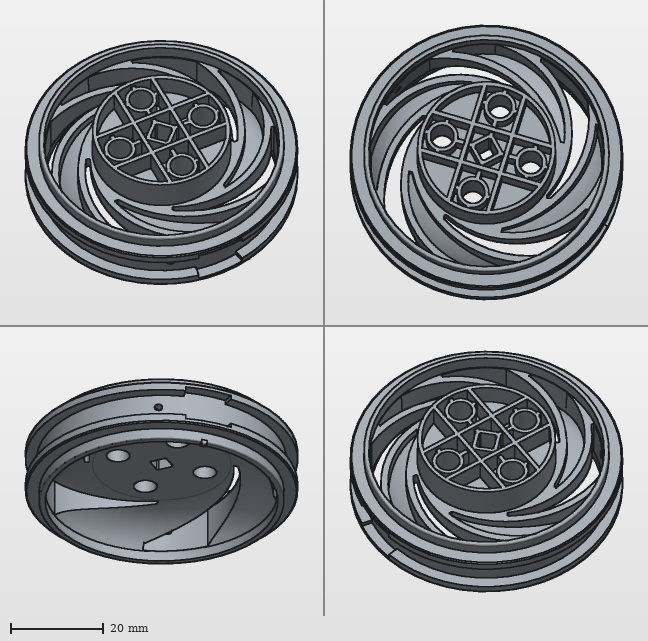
import cadquery as cq
import math

rim_height = 15.0
rim_radius = 26.5
rim_bore_radius = 25.15
rim_mouth_radius = 25.45
rim_edge_round = 0.2

drum_radius = 27.0
flange_radius = 29.45
flange_thickness = 2.0
flange_edge_chamfer = 0.3
lower_flange_bottom = 2.5
upper_flange_top = 12.55
drum_middle = (lower_flange_bottom + upper_flange_top) / 2

notch_half_angle = 10.2
notch_rim_left = 1.05

drum_hole_diameter = 1.55
drum_hole_y = 10.05
nub_length = 1.2
nub_width = 1.3
nub_height = 0.4
nub_edge_round = 0.2

web_top = 11.95
floor_top = 10.55
dome_radius = 12.05
shell_thickness = 1.2

spoke_count = 4
spoke_step = 360 / spoke_count
lead_arc_center = (-4.7, 4.6)
lead_arc_radius = 21.65
trail_arc_center = (-4.5, 8.05)
trail_arc_radius = 24.1
slot_end = 4.9
slot_end_round = 0.35

spoke_wall = 1.55
pocket_outer_radius = 25.3
pocket_draft = 3.0
pocket_inner_end_y = 7.95
pocket_outer_end_x = -13.9

hub_top = 19.1
hub_radius = 15.0
hub_top_radius = 14.9
hub_wall = 0.95
hub_floor = 14.25
rib_thickness = 1.0
rib_offset = 4.5
tube_count = 4
tube_step = 360 / tube_count
tube_pitch_radius = 10.0
tube_radius = 3.4
tube_bore_radius = 2.55
tube_top = hub_top - 0.9
socket_outer_half_diagonal = 3.95
socket_half_diagonal = 2.7
socket_corner_cut = 0.25

hub_cup_radius = hub_top_radius - hub_wall
dome_center_z = floor_top - dome_radius

overlap = 0.6
overrun = 0.6


def disc(radius, bottom, top, center=(0, 0)):
    return cq.Workplane("XY", origin=(*center, bottom)).circle(radius).extrude(top - bottom)


def cone(bottom_radius, top_radius, bottom, top, center=(0, 0)):
    solid = cq.Solid.makeCone(bottom_radius, top_radius, top - bottom, cq.Vector(*center, bottom))
    return cq.Workplane("XY").add(solid)


def box(x_min, x_max, y_min, y_max, bottom, top):
    size = (x_max - x_min, y_max - y_min, top - bottom)
    return cq.Workplane("XY", origin=(x_min, y_min, bottom)).box(*size, centered=False)


def square_post(half_diagonal, bottom, top):
    return cq.Workplane("XY", origin=(0, 0, bottom)).polygon(4, 2 * half_diagonal).extrude(top - bottom)


def turned(shape, angle):
    return shape.rotate((0, 0, 0), (0, 0, 1), angle)


def under_dome(arc_radius):
    """Solid below a dome that is flat over the hub and falls away towards the rim."""
    edge_angle = math.asin((rim_mouth_radius - hub_radius) / arc_radius)

    def arc_point(angle):
        x = hub_radius + arc_radius * math.sin(angle)
        z = dome_center_z + arc_radius * math.cos(angle)
        return x, z

    bottom = -overrun
    return (
        cq.Workplane("XZ")
        .moveTo(0, bottom)
        .lineTo(0, dome_center_z + arc_radius)
        .lineTo(*arc_point(0))
        .threePointArc(arc_point(edge_angle / 2), arc_point(edge_angle))
        .lineTo(rim_mouth_radius, bottom)
        .close()
        .revolve(360, (0, 0, 0), (0, 1, 0))
    )


def make_flanges():
    lower_top = lower_flange_bottom + flange_thickness
    upper_bottom = upper_flange_top - flange_thickness
    lower = disc(flange_radius, lower_flange_bottom, lower_top)
    lower = lower.faces("<Z").edges().chamfer(flange_edge_chamfer)
    upper = disc(flange_radius, upper_bottom, upper_flange_top)
    upper = upper.faces(">Z").edges().chamfer(flange_edge_chamfer)
    flanges = lower.union(upper)

    reach = 2 * flange_radius
    half_width = reach * math.tan(math.radians(notch_half_angle))
    notch_bottom = lower_flange_bottom + notch_rim_left
    notch_top = upper_flange_top - notch_rim_left
    wedge = (
        cq.Workplane("XY", origin=(0, 0, notch_bottom))
        .polyline([(0, 0), (reach, -half_width), (reach, half_width)])
        .close()
        .extrude(notch_top - notch_bottom)
    )
    for angle in (0, 180):
        flanges = flanges.cut(turned(wedge, angle))
    return flanges


def make_nub():
    half_width = nub_width / 2
    nub = box(-rim_radius, nub_length - rim_radius, -half_width, half_width, -nub_height, overlap)
    return nub.faces("<Z").edges().fillet(nub_edge_round)


def make_rim():
    ring = disc(rim_radius, 0, rim_height).edges().fillet(rim_edge_round)
    drum = disc(drum_radius, lower_flange_bottom, upper_flange_top)
    rim = ring.union(drum).union(make_flanges()).union(make_nub())
    return rim.cut(cone(rim_bore_radius, rim_mouth_radius, 0, rim_height))


def make_slot():
    bottom = -overrun
    top = web_top + overrun
    slot = disc(trail_arc_radius, bottom, top, trail_arc_center)
    slot = slot.cut(disc(lead_arc_radius, bottom, top, lead_arc_center))
    slot = slot.intersect(disc(rim_bore_radius, bottom, top))
    slot = slot.intersect(box(slot_end, flange_radius, -slot_end, flange_radius, bottom, top))
    return slot.edges("|Z").edges("<Y").fillet(slot_end_round)


def make_pocket():
    inner_center = (-trail_arc_center[1], trail_arc_center[0])
    outer_radius = lead_arc_radius - spoke_wall
    inner_radius = trail_arc_radius + spoke_wall
    taper = web_top * math.tan(math.radians(pocket_draft))
    pocket = cone(outer_radius - taper, outer_radius, 0, web_top, lead_arc_center)
    pocket = pocket.cut(cone(inner_radius + taper, inner_radius, 0, web_top, inner_center))
    pocket = pocket.intersect(cone(pocket_outer_radius - taper, pocket_outer_radius, 0, web_top))
    ends = box(pocket_outer_end_x, flange_radius, pocket_inner_end_y, flange_radius, 0, web_top)
    return pocket.intersect(ends).cut(under_dome(dome_radius))


def make_web():
    web = disc(rim_mouth_radius, 0, web_top).cut(under_dome(dome_radius - shell_thickness))
    slot = make_slot()
    pocket = make_pocket()
    for i in range(spoke_count):
        web = web.cut(turned(slot, spoke_step * i))
        web = web.cut(turned(pocket, spoke_step * i))
    return web


def make_hub_ribs():
    half = rib_thickness / 2
    ribs = cq.Workplane("XY")
    for place in (-rib_offset, rib_offset):
        near = place - half
        far = place + half
        ribs = ribs.union(box(-hub_radius, hub_radius, near, far, hub_floor, hub_top))
        ribs = ribs.union(box(near, far, -hub_radius, hub_radius, hub_floor, hub_top))

    tube = disc(tube_radius, hub_floor, tube_top, (tube_pitch_radius, 0))
    along = box(rib_offset, hub_radius, -half, half, hub_floor, tube_top)
    near = tube_pitch_radius - half
    far = tube_pitch_radius + half
    across = box(near, far, -rib_offset, rib_offset, hub_floor, tube_top)
    braced_tube = tube.union(along).union(across)
    for i in range(tube_count):
        ribs = ribs.union(turned(braced_tube, tube_step * i))

    ribs = ribs.union(square_post(socket_outer_half_diagonal, hub_floor, tube_top))
    ribs = ribs.union(box(-rib_offset, rib_offset, -half, half, hub_floor, tube_top))
    ribs = ribs.union(box(-half, half, -rib_offset, rib_offset, hub_floor, tube_top))
    return ribs.intersect(disc(hub_cup_radius + hub_wall / 2, hub_floor, hub_top))


def make_hub():
    hub = cone(hub_radius, hub_top_radius, web_top, hub_top)
    hub = hub.union(disc(hub_radius, web_top - overlap, web_top))
    hub = hub.cut(disc(hub_cup_radius, hub_floor, hub_top))
    return hub.union(make_hub_ribs())


def make_socket():
    reach = socket_half_diagonal - socket_corner_cut
    socket = square_post(socket_half_diagonal, 0, hub_top)
    return socket.intersect(box(-reach, reach, -reach, reach, 0, hub_top))


def make_drum_hole():
    return (
        cq.Workplane("YZ", origin=(rim_radius - drum_hole_y / 2, -drum_hole_y, drum_middle))
        .circle(drum_hole_diameter / 2)
        .extrude(drum_hole_y)
    )


result = make_rim().union(make_web()).union(make_hub()).cut(make_socket())

tube_bore = disc(tube_bore_radius, 0, hub_top, (tube_pitch_radius, 0))
for i in range(tube_count):
    result = result.cut(turned(tube_bore, tube_step * i))

drum_hole = make_drum_hole()
for angle in (0, 180):
    result = result.cut(turned(drum_hole, angle))